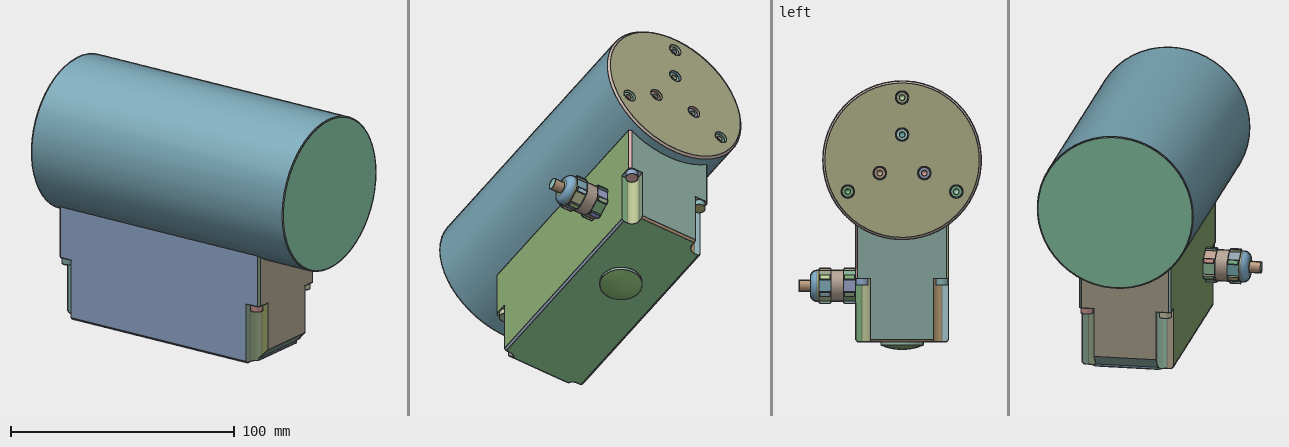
import cadquery as cq
import math


overall_width = 81.5
overall_height = 120.1

cylinder_length = 140.0
cylinder_diameter = 71.0
front_end_chamfer = 1.0
back_end_chamfer = 0.4

box_start_x = -64.8
box_end_x = 46.0
box_width = 41.6
box_bottom_z = -81.2
edge_chamfer = 1.0
bevel_size = 5.0

notch_top_z = -52.9
notch_depth = 6.7
end_notch_length = 7.1
notch_radius = 3.8
screw_head_diameter = 5.5
screw_head_height = 3.0

button_x = -25.0
button_diameter = 19.0
button_rim_height = 1.4

gland_x = -39.9
gland_z = -56.1
gland_diameter = 14.0
gland_tip_y = 41.0
gland_tip_radius = 3.1
cable_diameter = 5.0
nut_height = 5.3
outer_nut_start_y = 31.8
nut_flat_distance = 6.5
nut_outer_diameter = 15.8
nut_rib_width = 2.0
nut_rib_count = 6
nut_chamfer = 0.4

inner_circle_radius = 11.5
outer_circle_radius = 28.0
screws_per_circle = 3
counterbore_diameter = 6.0
counterbore_depth = 3.0
recess_depth = 1.0
end_head_diameter = 5.0
socket_diameter = 2.5
socket_depth = 1.5
socket_tip_angle = 120

cylinder_radius = cylinder_diameter / 2
end_face_x = -cylinder_length / 2
half_width = box_width / 2
cable_end_y = overall_width - cylinder_radius


def y_cylinder(diameter, start_y, end_y):
    """Cylinder along +Y on the gland axis."""
    plane = cq.Plane(origin=(gland_x, start_y, gland_z), xDir=(1, 0, 0), normal=(0, 1, 0))
    return cq.Workplane(plane).circle(diameter / 2).extrude(end_y - start_y)


def make_cylinder():
    body = cq.Workplane("YZ").circle(cylinder_radius).extrude(cylinder_length)
    body = body.translate((end_face_x, 0, 0))
    body = body.faces("<X").chamfer(front_end_chamfer)
    return body.faces(">X").chamfer(back_end_chamfer)


def make_box():
    box = cq.Workplane("XY").box(
        box_end_x - box_start_x, box_width, -box_bottom_z, centered=(False, True, False)
    )
    box = box.translate((box_start_x, 0, box_bottom_z))
    box = box.edges("|Z").chamfer(edge_chamfer)
    box = box.faces("<Z").chamfer(edge_chamfer)
    bevel_x = box_end_x - bevel_size
    land_top_z = box_bottom_z + edge_chamfer
    bevel = (
        cq.Workplane("XZ")
        .moveTo(bevel_x, box_bottom_z)
        .lineTo(bevel_x, land_top_z)
        .lineTo(box_end_x, land_top_z + bevel_size)
        .lineTo(box_end_x, box_bottom_z)
        .close()
        .extrude(half_width, both=True)
    )
    return box.cut(bevel)


def make_notch(corner_x, inward, length, side):
    """Notch cutter and screw head for one lower corner of the box."""
    wall_x = corner_x + inward * length
    wall_y = side * (half_width - notch_depth)
    notch = (
        cq.Workplane("XY", origin=(0, 0, box_bottom_z))
        .moveTo(corner_x, side * half_width)
        .lineTo(wall_x, side * half_width)
        .lineTo(wall_x, wall_y)
        .lineTo(corner_x, wall_y)
        .close()
        .extrude(notch_top_z - box_bottom_z)
    )
    inner_edge = cq.selectors.NearestToPointSelector((wall_x, wall_y, (notch_top_z + box_bottom_z) / 2))
    notch = notch.edges(inner_edge).fillet(notch_radius)
    head_x = wall_x - inward * notch_radius
    head_y = wall_y + side * notch_radius
    head = (
        cq.Workplane("XY", origin=(head_x, head_y, notch_top_z))
        .circle(screw_head_diameter / 2)
        .extrude(-screw_head_height)
    )
    return notch, head


def make_button():
    rim_z = box_bottom_z - button_rim_height
    lowest_z = cylinder_radius - overall_height
    radius = button_diameter / 2
    dome_height = rim_z - lowest_z
    sphere_radius = (radius**2 + dome_height**2) / (2 * dome_height)
    middle_angle = math.asin(radius / sphere_radius) / 2
    middle = (
        sphere_radius * math.sin(middle_angle),
        lowest_z + sphere_radius * (1 - math.cos(middle_angle)),
    )
    button = (
        cq.Workplane("XZ")
        .moveTo(0, box_bottom_z)
        .lineTo(radius, box_bottom_z)
        .lineTo(radius, rim_z)
        .threePointArc(middle, (0, lowest_z))
        .close()
        .revolve(360, (0, 0, 0), (0, 1, 0))
    )
    return button.translate((button_x, 0, 0))


def make_nut(start_y):
    """Hexagonal nut with a rib along each corner, the ribs bevelled at both ends."""
    plane = cq.Plane(origin=(gland_x, start_y, gland_z), xDir=(0, 0, 1), normal=(0, 1, 0))
    corner_diameter = 2 * nut_flat_distance / math.cos(math.pi / nut_rib_count)
    nut = cq.Workplane(plane).polygon(nut_rib_count, corner_diameter).extrude(nut_height)
    for index in range(nut_rib_count // 2):
        bar = (
            cq.Workplane(plane)
            .transformed(rotate=(0, 0, index * 360 / nut_rib_count))
            .rect(nut_outer_diameter, nut_rib_width)
            .extrude(nut_height)
        )
        nut = nut.union(bar)
    envelope = y_cylinder(nut_outer_diameter, start_y, start_y + nut_height)
    return nut.intersect(envelope.faces("<Y or >Y").chamfer(nut_chamfer))


def make_gland():
    inner_nut = make_nut(half_width)
    outer_nut = make_nut(outer_nut_start_y)
    collar = y_cylinder(gland_diameter, half_width + nut_height, outer_nut_start_y)
    cap = y_cylinder(gland_diameter, outer_nut_start_y + nut_height, gland_tip_y)
    cap = cap.faces(">Y").edges().fillet(gland_tip_radius)
    cable = y_cylinder(cable_diameter, gland_tip_y, cable_end_y)
    return inner_nut.union(collar).union(outer_nut).union(cap).union(cable)


def end_screw_places(circle_radius):
    """Screw centres as (Y, Z), the first one straight above the axis."""
    angles = [math.radians(90 + index * 360 / screws_per_circle) for index in range(screws_per_circle)]
    return [(circle_radius * math.cos(angle), circle_radius * math.sin(angle)) for angle in angles]


def cut_end_screws(body):
    """Sunken screw heads with a narrow gap around them and a drilled socket."""
    places = end_screw_places(inner_circle_radius) + end_screw_places(outer_circle_radius)
    head_x = end_face_x + recess_depth
    socket_radius = socket_diameter / 2
    tip_depth = socket_radius / math.tan(math.radians(socket_tip_angle / 2))
    socket = (
        cq.Workplane("XY")
        .lineTo(0, socket_radius)
        .lineTo(socket_depth, socket_radius)
        .lineTo(socket_depth + tip_depth, 0)
        .close()
        .revolve(360, (0, 0, 0), (1, 0, 0))
    )
    for y, z in places:
        counterbore = cq.Workplane("YZ", origin=(end_face_x, y, z)).circle(counterbore_diameter / 2)
        head = cq.Workplane("YZ", origin=(head_x, y, z)).circle(end_head_diameter / 2)
        body = body.cut(counterbore.extrude(counterbore_depth))
        body = body.union(head.extrude(counterbore_depth - recess_depth))
        body = body.cut(socket.translate((head_x, y, z)))
    return body


box = make_box()
for side in (-1, 1):
    for corner_x, inward, length in ((box_start_x, 1, notch_depth), (box_end_x, -1, end_notch_length)):
        notch, head = make_notch(corner_x, inward, length, side)
        box = box.cut(notch).union(head)

result = make_cylinder().union(box).union(make_button()).union(make_gland())
result = cut_end_screws(result)